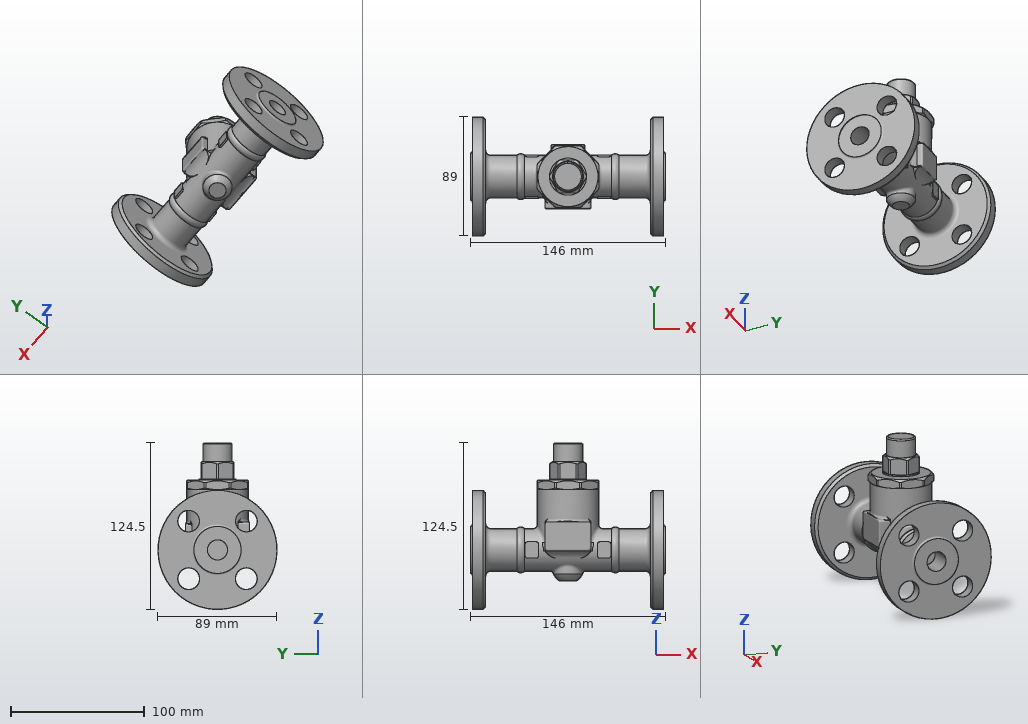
import cadquery as cq
import math


length = 146.0
flange_dia = 89.0
flange_thickness = 10.1
flange_chamfer = 2.0
raised_face_dia = 35.2
raised_face_height = 1.5
neck_fillet = 3.8
bolt_hole_dia = 16.0
bolt_hole_count = 4
bolt_circle_dia = 60.9
bore_dia = 15.0
bore_depth = 21.9

pipe_dia = 32.0
bead_offset = 35.3
bead_half_width = 2.9
bead_height = 1.2

body_dia = 46.0
body_bottom = -0.9
body_top = 45.1
saddle_fillet = 2.9

cap_sides = 8
cap_flats = body_dia
cap_corners = 49.2
cap_height = 7.0
cap_top_dia = 44.8
cap_top_bevel = 1.9
cap_bottom_bevel = 1.0

collar_dia = 27.7
collar_height = 1.0
hex_sides = 6
hex_flats = 24.5
hex_corners = 27.5
hex_height = 12.8
hex_top_dia = 23.0
hex_top_bevel = 1.6
stem_dia = 22.0
stem_chamfer = 1.0
stem_top = 80.0

front_block_width = 34.5
front_block_top = 21.0
front_block_reach = 24.1
back_block_width = 25.4
back_block_top = 19.7
back_block_reach = 24.0
block_corner_radius = 2.0
block_edge_radius = 1.2
block_root_fillet = 1.9
side_root_top = 5.5

web_depth = 6.1
web_reach = 21.9
web_hollow = (1.6, -2.6)
web_corner = 7.6
web_corner_mid = (2.3, -3.4)

pad_offset = 27.0
pad_width = 10.0
pad_height = 12.3
pad_reach = 16.2
pad_corner_radius = 1.8

boss_dia = 21.9
boss_shoulder = -18.1
boss_bottom = -23.0
boss_bottom_dia = 12.8
boss_round_mid_dia = 18.7
boss_round_mid = -20.6
boss_fillet = 2.0

flange_outer = length / 2 - raised_face_height
flange_inner = flange_outer - flange_thickness
pipe_radius = pipe_dia / 2
box_margin = 0.1
quarter_arc_inset = 1 - math.sqrt(0.5)


def cylinder_z(diameter, bottom, top):
    return cq.Workplane("XY").workplane(offset=bottom).circle(diameter / 2).extrude(top - bottom)


def make_pipe():
    return cq.Workplane("YZ").circle(pipe_radius).extrude(flange_inner, both=True)


def make_bead(side):
    profile = (
        cq.Workplane("XZ")
        .moveTo(-bead_half_width, 0)
        .lineTo(-bead_half_width, pipe_radius)
        .threePointArc((0, pipe_radius + bead_height), (bead_half_width, pipe_radius))
        .lineTo(bead_half_width, 0)
        .close()
    )
    bead = profile.revolve(360, (0, 0, 0), (1, 0, 0))
    return bead.translate((side * bead_offset, 0, 0))


def make_flange():
    """Flange at the +X end, turned about X, with concave roots at the neck and raised face."""
    face_radius = raised_face_dia / 2
    rim_radius = flange_dia / 2
    neck_inset = neck_fillet * quarter_arc_inset
    face_inset = raised_face_height * quarter_arc_inset
    neck_mid = (flange_inner - neck_inset, pipe_radius + neck_inset)
    face_mid = (flange_outer + face_inset, face_radius + face_inset)
    profile = (
        cq.Workplane("XZ")
        .moveTo(flange_inner - neck_fillet, 0)
        .lineTo(flange_inner - neck_fillet, pipe_radius)
        .threePointArc(neck_mid, (flange_inner, pipe_radius + neck_fillet))
        .lineTo(flange_inner, rim_radius - flange_chamfer)
        .lineTo(flange_inner + flange_chamfer, rim_radius)
        .lineTo(flange_outer, rim_radius)
        .lineTo(flange_outer, face_radius + raised_face_height)
        .threePointArc(face_mid, (length / 2, face_radius))
        .lineTo(length / 2, 0)
        .close()
    )
    flange = profile.revolve(360, (0, 0, 0), (1, 0, 0))
    bolt_holes = (
        cq.Workplane("YZ")
        .workplane(offset=flange_inner)
        .polarArray(bolt_circle_dia / 2, 180 / bolt_hole_count, 360, bolt_hole_count)
        .circle(bolt_hole_dia / 2)
        .extrude(flange_thickness)
    )
    return flange.cut(bolt_holes)


def make_bore():
    """Blind bore entering from the +X end."""
    bore_floor = cq.Workplane("YZ").workplane(offset=length / 2 - bore_depth)
    return bore_floor.circle(bore_dia / 2).extrude(bore_depth)


def make_nut(sides, flats, turn, corners, bottom, height, top_dia, top_bevel, bottom_dia, bottom_bevel):
    """Polygon prism whose corners are trimmed by a turned, bevelled envelope."""
    top = bottom + height
    corner_circle = flats / math.cos(math.pi / sides)
    prism = (
        cq.Workplane("XY")
        .workplane(offset=bottom)
        .transformed(rotate=(0, 0, turn))
        .polygon(sides, corner_circle)
        .extrude(height)
    )
    envelope = (
        cq.Workplane("XZ")
        .moveTo(0, bottom)
        .lineTo(bottom_dia / 2, bottom)
        .lineTo(corners / 2, bottom + bottom_bevel)
        .lineTo(corners / 2, top - top_bevel)
        .lineTo(top_dia / 2, top)
        .lineTo(0, top)
        .close()
        .revolve(360, (0, 0, 0), (0, 1, 0))
    )
    return prism.intersect(envelope)


def make_bonnet():
    """Octagonal cap, collar, hexagon and stem stacked on the body."""
    cap_top = body_top + cap_height
    hex_bottom = cap_top + collar_height
    flats_to_front = 180 / cap_sides
    cap = make_nut(cap_sides, cap_flats, flats_to_front, cap_corners, body_top, cap_height,
                   cap_top_dia, cap_top_bevel, body_dia, cap_bottom_bevel)
    collar = cylinder_z(collar_dia, cap_top, hex_bottom)
    hexagon = make_nut(hex_sides, hex_flats, 0, hex_corners, hex_bottom, hex_height,
                       hex_top_dia, hex_top_bevel, hex_corners, hex_top_bevel)
    stem = cylinder_z(stem_dia, hex_bottom, stem_top).faces(">Z").chamfer(stem_chamfer)
    return cap.union(collar).union(hexagon).union(stem)


def make_block(width, top, reach):
    """Nameplate block facing -Y, with rounded corners and a rounded outer rim."""
    height = top - body_bottom
    return (
        cq.Workplane("XZ")
        .center(0, body_bottom + height / 2)
        .rect(width, height)
        .extrude(reach)
        .edges("|Y")
        .fillet(block_corner_radius)
        .faces("<Y")
        .edges()
        .fillet(block_edge_radius)
    )


def make_web(width):
    """Concave web under a block, facing -Y, narrowing towards its lower edge."""
    foot_y = -math.sqrt(pipe_radius**2 - web_depth**2)
    hollow_mid = (-pipe_radius - web_hollow[0], web_hollow[1])
    corner_mid_x = width / 2 - web_corner_mid[0]
    corner_mid_z = web_corner_mid[1]
    hollow = (
        cq.Workplane("YZ")
        .moveTo(0, 0)
        .lineTo(-web_reach, 0)
        .lineTo(-web_reach, body_bottom)
        .threePointArc(hollow_mid, (foot_y, -web_depth))
        .lineTo(0, -web_depth)
        .close()
        .extrude(width / 2, both=True)
    )
    outline = (
        cq.Workplane("XZ")
        .moveTo(-width / 2, 0)
        .lineTo(-width / 2, body_bottom)
        .threePointArc((-corner_mid_x, corner_mid_z), (-width / 2 + web_corner, -web_depth))
        .lineTo(width / 2 - web_corner, -web_depth)
        .threePointArc((corner_mid_x, corner_mid_z), (width / 2, body_bottom))
        .lineTo(width / 2, 0)
        .close()
        .extrude(web_reach)
    )
    return hollow.intersect(outline)


def make_pad(x_side):
    """Flat rectangular pad standing on the pipe at both -Y and +Y."""
    return (
        cq.Workplane("XZ")
        .center(x_side * pad_offset, 0)
        .rect(pad_width, pad_height)
        .extrude(pad_reach, both=True)
        .edges("|Y")
        .fillet(pad_corner_radius)
    )


def make_boss():
    return (
        cq.Workplane("XZ")
        .lineTo(boss_dia / 2, 0)
        .lineTo(boss_dia / 2, boss_shoulder)
        .threePointArc((boss_round_mid_dia / 2, boss_round_mid), (boss_bottom_dia / 2, boss_bottom))
        .lineTo(0, boss_bottom)
        .close()
        .revolve(360, (0, 0, 0), (0, 1, 0))
    )


def make_top_root(width, top, reach):
    """Concave ring that blends the top of a block into the upright body."""
    body_radius = body_dia / 2
    inset = block_root_fillet * quarter_arc_inset
    sunk_bottom = top - block_edge_radius / 2
    ring = (
        cq.Workplane("XZ")
        .moveTo(0, sunk_bottom)
        .lineTo(body_radius + block_root_fillet, sunk_bottom)
        .lineTo(body_radius + block_root_fillet, top)
        .threePointArc((body_radius + inset, top + inset), (body_radius, top + block_root_fillet))
        .lineTo(0, top + block_root_fillet)
        .close()
        .revolve(360, (0, 0, 0), (0, 1, 0))
    )
    limit = (
        cq.Workplane("XZ")
        .center(0, top)
        .rect(width, 2 * block_root_fillet)
        .extrude(reach - block_edge_radius / 2)
        .edges("|Y and >Z")
        .chamfer(block_root_fillet)
    )
    return ring.intersect(limit)


def make_side_root(width):
    """Concave strip along the foot of a block's +X side, where it stands on the pipe."""
    mid_height = side_root_top / 2
    foot_y = -math.sqrt(pipe_radius**2 - mid_height**2)
    inset = block_root_fillet * quarter_arc_inset
    side_x = width / 2
    return (
        cq.Workplane("XY")
        .workplane(offset=body_bottom)
        .moveTo(side_x, 0)
        .lineTo(side_x + block_root_fillet, 0)
        .lineTo(side_x + block_root_fillet, foot_y)
        .threePointArc((side_x + inset, foot_y - inset), (side_x, foot_y - block_root_fillet))
        .close()
        .extrude(side_root_top - body_bottom)
    )


def make_nameplate(width, top, reach):
    """Block facing -Y with the web below it and the blend above it."""
    return make_block(width, top, reach).union(make_web(width)).union(make_top_root(width, top, reach))


def fillet_joint(solid, low_z, high_z, radius):
    """Round the curved joints with the pipe that lie between two heights."""
    joint_edges = [
        edge
        for edge in solid.edges("%BSPLINE").vals()
        if edge.BoundingBox().zmin >= low_z - box_margin and edge.BoundingBox().zmax <= high_z + box_margin
    ]
    return solid.newObject(joint_edges).fillet(radius)


upright = cylinder_z(body_dia, body_bottom, body_top).rotate((0, 0, 0), (0, 0, 1), 90)
casting = fillet_joint(make_pipe().union(upright), body_bottom, body_top, saddle_fillet)
casting = fillet_joint(casting.union(make_boss()), boss_bottom, -pipe_radius / 2, boss_fillet)

front_root = make_side_root(front_block_width)
front_plate = make_nameplate(front_block_width, front_block_top, front_block_reach)
front_plate = front_plate.union(front_root).union(front_root.mirror("YZ"))
back_plate = make_nameplate(back_block_width, back_block_top, back_block_reach).mirror("XZ")

result = casting.union(front_plate).union(back_plate).union(make_bonnet())
for side in (-1, 1):
    result = result.union(make_bead(side)).union(make_pad(side))

flange = make_flange()
bore = make_bore()
result = result.union(flange).union(flange.mirror("YZ"))
result = result.cut(bore).cut(bore.mirror("YZ"))